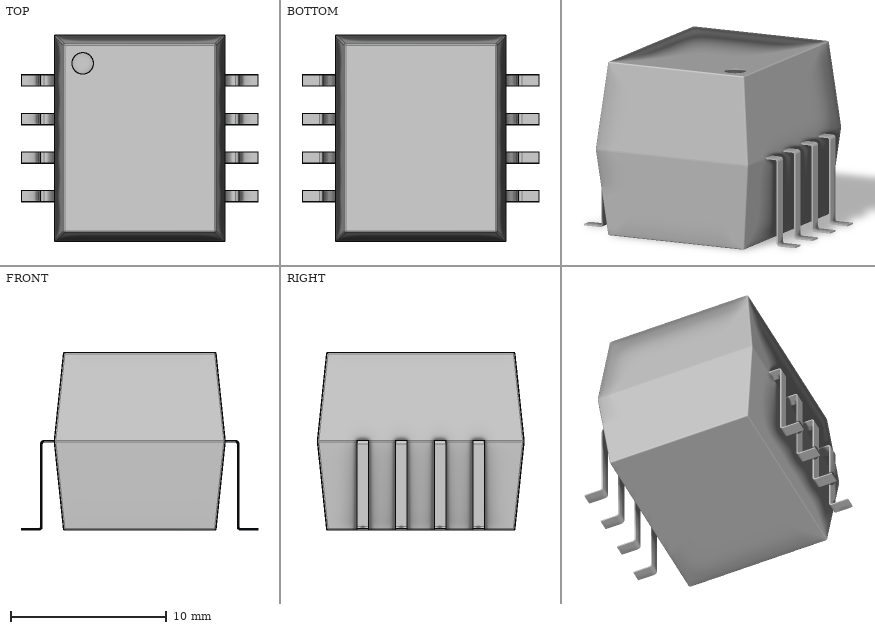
import cadquery as cq

BODY_X = 11.0
BODY_Y = 13.3
BODY_HEIGHT = 11.43
DRAFT_ANGLE = 6.0
EDGE_RADIUS = 0.1

MARK_DIAMETER = 1.38
MARK_DEPTH = 0.1
MARK_X = -3.67
MARK_Y = 4.82

LEAD_COUNT = 4
LEAD_PITCH = 2.48
LEAD_WIDTH = 0.74
LEAD_THICKNESS = 0.1
LEAD_SPAN = 15.23
LEG_OUTER_X = 6.38
BEND_INNER_RADIUS = 0.12

waist_z = BODY_HEIGHT / 2
half_band = LEAD_THICKNESS / 2
taper_height = waist_z - half_band

bend_radius = BEND_INNER_RADIUS + LEAD_THICKNESS / 2
arm_start_x = BODY_X / 2
leg_x = LEG_OUTER_X - LEAD_THICKNESS / 2
foot_z = LEAD_THICKNESS / 2
foot_end_x = LEAD_SPAN / 2


def make_housing_half():
    """Upper half of the housing with its share of the waist band, standing on Z = 0."""
    half = (
        cq.Workplane("XY", origin=(0, 0, half_band))
        .rect(BODY_X, BODY_Y)
        .extrude(taper_height, taper=DRAFT_ANGLE)
        .edges("not <Z")
        .fillet(EDGE_RADIUS)
    )
    band = half.faces("<Z").wires().toPending().workplane().extrude(half_band, combine=False)
    return half.union(band)


def make_housing():
    """Whole housing on Z = 0, with the pin-one recess in its top face."""
    upper = make_housing_half()
    body = upper.union(upper.mirror("XY")).translate((0, 0, waist_z))
    mark = (
        cq.Workplane("XY", origin=(MARK_X, MARK_Y, BODY_HEIGHT))
        .circle(MARK_DIAMETER / 2)
        .extrude(-MARK_DEPTH)
    )
    return body.cut(mark)


def make_lead(side, y):
    """Lead with an arm at the waist, a leg down and a foot outward; side is -1 or +1 along X."""
    path = (
        cq.Workplane("XZ", origin=(0, y, 0))
        .moveTo(side * arm_start_x, waist_z)
        .lineTo(side * (leg_x - bend_radius), waist_z)
        .tangentArcPoint((side * bend_radius, -bend_radius))
        .lineTo(side * leg_x, foot_z + bend_radius)
        .tangentArcPoint((side * bend_radius, -bend_radius))
        .lineTo(side * foot_end_x, foot_z)
    )
    section = cq.Workplane("YZ", origin=(side * arm_start_x, y, waist_z)).rect(LEAD_WIDTH, LEAD_THICKNESS)
    return section.sweep(path)


housing = make_housing()

leads = []
for side in (-1, 1):
    for index in range(LEAD_COUNT):
        lead_y = (index - (LEAD_COUNT - 1) / 2) * LEAD_PITCH
        leads.append(make_lead(side, lead_y).val())

result = cq.Compound.makeCompound([housing.val(), *leads])